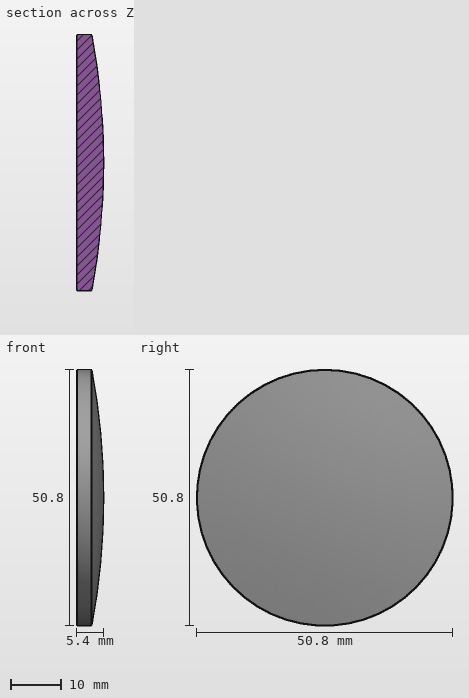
import cadquery as cq
import math

diameter = 50.8
center_thickness = 5.4
edge_thickness = 3.05
flat_chamfer = 0.2
dome_chamfer = 0.2

radius = diameter / 2
flat_radius = radius - flat_chamfer
dome_radius = radius - dome_chamfer

dome_height = center_thickness - edge_thickness
sphere_radius = (dome_radius**2 + dome_height**2) / (2 * dome_height)
sphere_center = center_thickness - sphere_radius
mid_angle = math.asin(dome_radius / sphere_radius) / 2
dome_mid = (
    sphere_center + sphere_radius * math.cos(mid_angle),
    sphere_radius * math.sin(mid_angle),
)

half_section = (
    cq.Workplane("XZ")
    .moveTo(0, 0)
    .lineTo(0, flat_radius)
    .lineTo(flat_chamfer, radius)
    .lineTo(edge_thickness - dome_chamfer, radius)
    .lineTo(edge_thickness, dome_radius)
    .threePointArc(dome_mid, (center_thickness, 0))
    .close()
)

result = half_section.revolve(360, (0, 0, 0), (1, 0, 0))